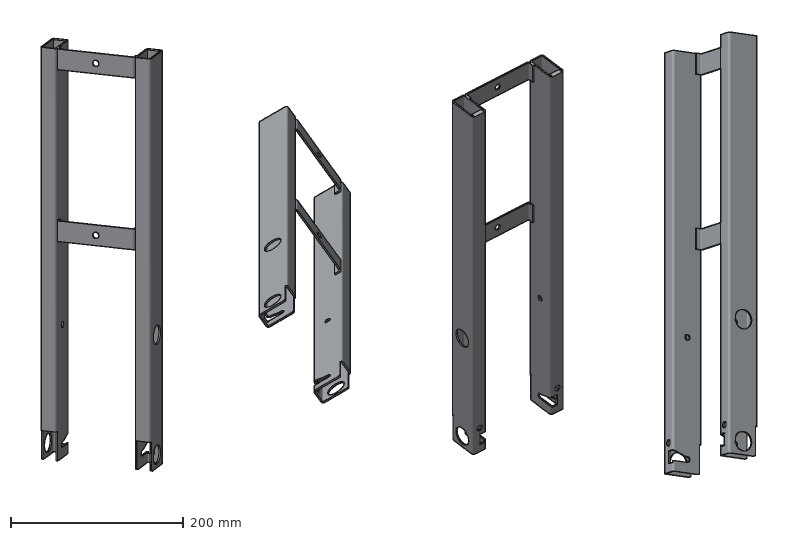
import cadquery as cq

frame_width = 137.0
frame_height = 500.0
post_width = 20.0
post_depth = 40.0

sheet = 2.0
bend_radius = 3.0
inner_bend = bend_radius - sheet

foot_height = 36.0
foot_corner_radius = 2.5

side_hole_y = post_depth / 2
foot_hole_z = 16.0
upper_hole_z = 161.0
bolt_diameter = 7.0
access_diameter = 23.0

mouth_taper_y = 23.0
mouth_top_z = 25.5
notch_bottom_z = 10.5
notch_start_x = 10.5
web_hole_z = 35.0
web_hole_diameter = 7.5

top_pad_height = 12.0
top_pad_depth = 6.0

bar_height = 25.0
bar_tab_depth = 9.0
bar_hole_diameter = 7.5
middle_bar_z = 279.5
bar_center_heights = (middle_bar_z, frame_height - bar_height / 2)

half_width = frame_width / 2
outer_face = -half_width
inner_face = outer_face + post_width
wall_start = inner_face - sheet
bar_span = frame_width - 2 * post_width


def box(x0, x1, y0, y1, z0, z1):
    """Block between two opposite corners."""
    return cq.Workplane("XY").box(x1 - x0, y1 - y0, z1 - z0, centered=False).translate((x0, y0, z0))


def x_cylinder(x0, x1, y, z, diameter):
    """Cylinder along X."""
    return cq.Workplane("YZ", origin=(x0, y, z)).circle(diameter / 2).extrude(x1 - x0)


def y_cylinder(x, z, y0, y1, diameter):
    """Cylinder along Y."""
    return cq.Workplane("XZ", origin=(x, y0, z)).circle(diameter / 2).extrude(y0 - y1)


def post_tube():
    """Closed rectangular tube with rounded long edges."""
    outside = box(outer_face, inner_face, 0, post_depth, 0, frame_height).edges("|Z").fillet(bend_radius)
    inside = box(outer_face + sheet, wall_start, sheet, post_depth - sheet, 0, frame_height)
    return outside.cut(inside.edges("|Z").fillet(inner_bend))


def open_foot(post):
    """Remove the front flange and its bends at the foot, then round the wall corners left there."""
    post = post.cut(box(outer_face, inner_face, 0, bend_radius, 0, foot_height))
    corners = cq.selectors.BoxSelector(
        (outer_face, bend_radius - sheet, -sheet),
        (inner_face, bend_radius + sheet, sheet),
    )
    return post.edges("|X").edges(corners).fillet(foot_corner_radius)


def hook_slot():
    """Slot of the inner wall, running to the back and widening upward into a mouth."""
    half_slot = bolt_diameter / 2
    return (
        cq.Workplane("YZ", origin=(wall_start, 0, 0))
        .moveTo(post_depth, foot_hole_z - half_slot)
        .lineTo(side_hole_y, foot_hole_z - half_slot)
        .threePointArc((side_hole_y - half_slot, foot_hole_z), (side_hole_y, foot_hole_z + half_slot))
        .lineTo(mouth_taper_y, foot_hole_z + half_slot)
        .lineTo(post_depth, mouth_top_z)
        .close()
        .extrude(sheet)
    )


def top_pad():
    """Pad that thickens the back web at its top, set in from the bends."""
    return box(
        outer_face + bend_radius,
        inner_face - bend_radius,
        post_depth - top_pad_depth,
        post_depth,
        frame_height - top_pad_height,
        frame_height,
    )


def left_post():
    """Post on the -X side with all its openings."""
    post = open_foot(post_tube()).union(top_pad())
    for z in (foot_hole_z, upper_hole_z):
        post = post.cut(x_cylinder(outer_face, outer_face + sheet, side_hole_y, z, access_diameter))
    post = post.cut(x_cylinder(wall_start, inner_face, side_hole_y, upper_hole_z, bolt_diameter))
    post = post.cut(hook_slot())
    web_front = post_depth - bend_radius
    post = post.cut(
        box(outer_face + notch_start_x, wall_start, web_front, post_depth, notch_bottom_z, mouth_top_z)
    )
    post_center = outer_face + post_width / 2
    return post.cut(y_cylinder(post_center, web_hole_z, web_front, post_depth, web_hole_diameter))


def cross_bar(center_z):
    """Strip between the posts, its ends bent back along the inner walls."""
    z0 = center_z - bar_height / 2
    z1 = center_z + bar_height / 2
    half_span = bar_span / 2
    outside = box(-half_span, half_span, 0, bar_tab_depth, z0, z1)
    outside = outside.edges("|Z and <Y").fillet(bend_radius)
    inside = box(sheet - half_span, half_span - sheet, sheet, bar_tab_depth, z0, z1)
    inside = inside.edges("|Z and <Y").fillet(inner_bend)
    hole = y_cylinder(0, center_z, 0, sheet, bar_hole_diameter)
    return outside.cut(inside).cut(hole)


post = left_post()
result = post.union(post.mirror("YZ"))
for height in bar_center_heights:
    result = result.union(cross_bar(height))